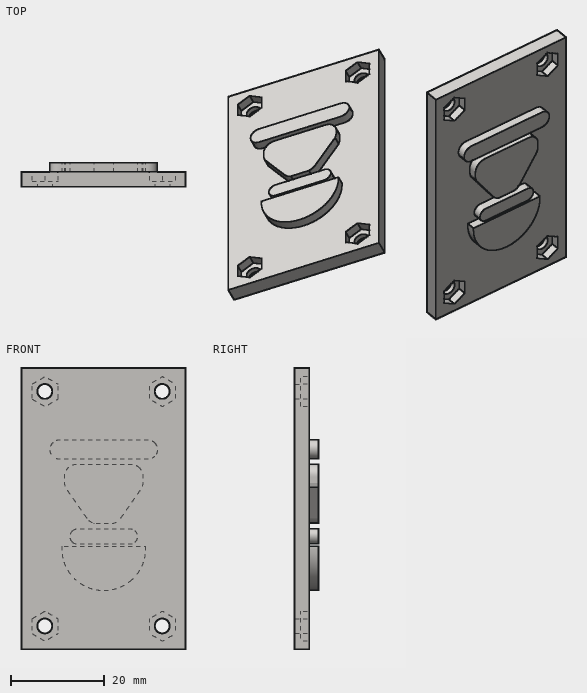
import cadquery as cq
import math

plate_width = 35.0
plate_height = 60.0
plate_thickness = 3.2
raised_height = 2.0
total_depth = plate_thickness + raised_height
front_y = -total_depth / 2
back_y = front_y + plate_thickness

hole_diameter = 3.1
hole_spacing_x = 25.0
hole_spacing_z = 50.0

nut_across_flats = 5.5
nut_across_corners = nut_across_flats / math.cos(math.pi / 6)
nut_pocket_depth = 2.0
hole_centers = [
    (x_side * hole_spacing_x / 2, z_side * hole_spacing_z / 2)
    for x_side in (-1, 1)
    for z_side in (-1, 1)
]

upper_bar_length = 22.9
upper_bar_height = 4.1
upper_bar_z = 12.65
lower_bar_length = 14.4
lower_bar_height = 3.25
lower_bar_z = -5.9

pad_top_z = 9.5
pad_shoulder_z = 6.9
pad_side_end_z = 5.5
pad_bevel_end_z = 4.55
pad_taper_start_z = 3.95
pad_taper_end_z = -2.0
pad_bottom_z = -3.05
pad_half_width = 8.4
pad_bevel_half_width = 8.15
pad_taper_start_half_width = 7.75
pad_taper_end_half_width = 3.6
pad_bottom_half_width = 2.1

bowl_top_z = -8.0
bowl_rim_z = -8.45
bowl_radius = 8.95


def xz_plane(y):
    """Sketch plane at depth y whose normal points toward +Y; local x is -X."""
    return cq.Workplane(cq.Plane(origin=(0, y, 0), xDir=(-1, 0, 0), normal=(0, 1, 0)))


def make_plate():
    plate = xz_plane(front_y).rect(plate_width, plate_height).extrude(plate_thickness)
    holes = (
        xz_plane(front_y)
        .pushPoints(hole_centers)
        .circle(hole_diameter / 2)
        .extrude(plate_thickness)
    )
    return plate.cut(holes).cut(make_nut_pockets())


def make_nut_pockets():
    """Hexagons with two corners pointing along Z."""
    hexagon = cq.Sketch().regularPolygon(nut_across_corners / 2, 6)
    return (
        xz_plane(back_y - nut_pocket_depth)
        .pushPoints(hole_centers)
        .placeSketch(hexagon)
        .extrude(nut_pocket_depth)
    )


def make_bar(length, height, center_z):
    return xz_plane(back_y).center(0, center_z).slot2D(length, height).extrude(raised_height)


def make_tapered_pad():
    shoulder_radius = pad_top_z - pad_shoulder_z
    half_pad = (
        xz_plane(back_y)
        .moveTo(0, pad_top_z)
        .lineTo(pad_half_width - shoulder_radius, pad_top_z)
        .tangentArcPoint((pad_half_width, pad_shoulder_z), relative=False)
        .lineTo(pad_half_width, pad_side_end_z)
        .lineTo(pad_bevel_half_width, pad_bevel_end_z)
        .lineTo(pad_taper_start_half_width, pad_taper_start_z)
        .lineTo(pad_taper_end_half_width, pad_taper_end_z)
        .tangentArcPoint((pad_bottom_half_width, pad_bottom_z), relative=False)
        .lineTo(0, pad_bottom_z)
        .close()
        .extrude(raised_height)
    )
    return half_pad.union(half_pad.mirror("YZ"))


def make_bowl():
    return (
        xz_plane(back_y)
        .moveTo(-bowl_radius, bowl_top_z)
        .lineTo(bowl_radius, bowl_top_z)
        .lineTo(bowl_radius, bowl_rim_z)
        .threePointArc((0, bowl_rim_z - bowl_radius), (-bowl_radius, bowl_rim_z))
        .close()
        .extrude(raised_height)
    )


result = (
    make_plate()
    .union(make_bar(upper_bar_length, upper_bar_height, upper_bar_z))
    .union(make_tapered_pad())
    .union(make_bar(lower_bar_length, lower_bar_height, lower_bar_z))
    .union(make_bowl())
)